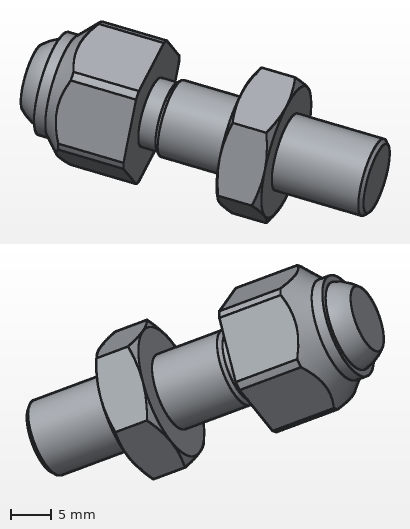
import cadquery as cq
import math

OVERALL_LENGTH = 45.7
ACROSS_FLATS = 17.0
ACROSS_CORNERS = ACROSS_FLATS / math.cos(math.radians(30))

BALL_RADIUS = 6.0
BALL_FLAT_RADIUS = 4.3
BALL_CENTER_X = math.sqrt(BALL_RADIUS**2 - BALL_FLAT_RADIUS**2)

COLLAR_START = 2.7
COLLAR_END = 4.2
COLLAR_RADIUS = 6.65
HEAD_RADIUS = 9.5
HEAD_END = 15.7
CONE_END = COLLAR_END + HEAD_RADIUS - COLLAR_RADIUS

NECK_RADIUS = 4.5
SHANK_RADIUS = 5.0
SHANK_START = 18.0
SHANK_CHAMFER = SHANK_RADIUS - NECK_RADIUS

NUT_START = 27.7
NUT_THICKNESS = 6.0
NUT_FACE_RADIUS = ACROSS_FLATS / 2
NUT_CHAMFER_ANGLE = 30


def revolve_profile(points):
    """Turn an (X, radius) outline around the X axis."""
    return cq.Workplane("XY").polyline(points).close().revolve(360, (0, 0, 0), (1, 0, 0))


def hex_bar(start, length):
    """Hexagonal bar along X with corners on the Y axis and flats facing Z."""
    return cq.Workplane("YZ", origin=(start, 0, 0)).polygon(6, ACROSS_CORNERS).extrude(length)


def make_ball():
    return (
        cq.Workplane("XY")
        .lineTo(0, BALL_FLAT_RADIUS)
        .threePointArc((BALL_CENTER_X, BALL_RADIUS), (BALL_CENTER_X + BALL_RADIUS, 0))
        .close()
        .revolve(360, (0, 0, 0), (1, 0, 0))
    )


def make_screw(ball):
    turned_head = revolve_profile([
        (COLLAR_END, 0),
        (COLLAR_END, COLLAR_RADIUS),
        (CONE_END, HEAD_RADIUS),
        (HEAD_END, HEAD_RADIUS),
        (HEAD_END, 0),
    ])
    head = hex_bar(COLLAR_END, HEAD_END - COLLAR_END).intersect(turned_head)
    collar = (
        cq.Workplane("YZ", origin=(COLLAR_START, 0, 0))
        .circle(COLLAR_RADIUS)
        .extrude(COLLAR_END - COLLAR_START)
    )
    shank = revolve_profile([
        (HEAD_END, 0),
        (HEAD_END, NECK_RADIUS),
        (SHANK_START, NECK_RADIUS),
        (SHANK_START + SHANK_CHAMFER, SHANK_RADIUS),
        (OVERALL_LENGTH - SHANK_CHAMFER, SHANK_RADIUS),
        (OVERALL_LENGTH, SHANK_RADIUS - SHANK_CHAMFER),
        (OVERALL_LENGTH, 0),
    ])
    return head.union(collar).union(shank).cut(ball)


def make_nut():
    nut_end = NUT_START + NUT_THICKNESS
    corner_radius = ACROSS_CORNERS / 2
    chamfer_length = (corner_radius - NUT_FACE_RADIUS) * math.tan(math.radians(NUT_CHAMFER_ANGLE))
    turned_nut = revolve_profile([
        (NUT_START, 0),
        (NUT_START, NUT_FACE_RADIUS),
        (NUT_START + chamfer_length, corner_radius),
        (nut_end - chamfer_length, corner_radius),
        (nut_end, NUT_FACE_RADIUS),
        (nut_end, 0),
    ])
    bore = cq.Workplane("YZ", origin=(NUT_START, 0, 0)).circle(SHANK_RADIUS).extrude(NUT_THICKNESS)
    return hex_bar(NUT_START, NUT_THICKNESS).intersect(turned_nut).cut(bore)


ball = make_ball()
screw = make_screw(ball)
nut = make_nut()

result = cq.Compound.makeCompound([body.solids().val() for body in (ball, screw, nut)])